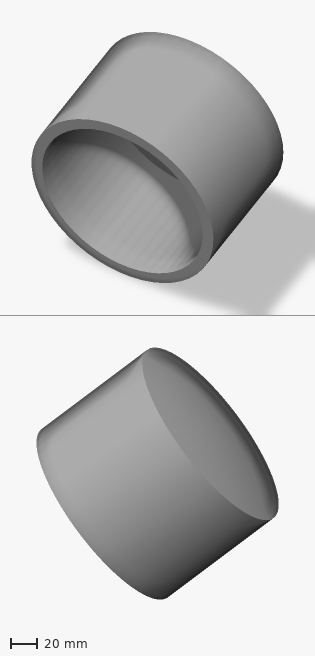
import cadquery as cq
import math

outer_diameter = 160.0
wall_thickness = 9.5
overall_length = 115.01
outer_dome_rise = 9.3
crown_thickness = 9.0
inner_dome_radius = 318.0

outer_radius = outer_diameter / 2
inner_radius = outer_radius - wall_thickness
outer_dome_radius = (outer_radius**2 + outer_dome_rise**2) / (2 * outer_dome_rise)
cavity_depth = overall_length - crown_thickness


def domed_cylinder(radius, length, dome_radius):
    """Solid of revolution about Y, flat at Y = 0 and spherical at its +Y end."""
    dome_centre_y = length - dome_radius

    def dome_point(distance):
        """Point of the dome at a given distance from the axis."""
        return (distance, dome_centre_y + math.sqrt(dome_radius**2 - distance**2))

    profile = (
        cq.Workplane("XY")
        .lineTo(radius, 0)
        .lineTo(*dome_point(radius))
        .threePointArc(dome_point(radius / 2), (0, length))
        .close()
    )
    return profile.revolve(360, (0, 0, 0), (0, 1, 0))


body = domed_cylinder(outer_radius, overall_length, outer_dome_radius)
cavity = domed_cylinder(inner_radius, cavity_depth, inner_dome_radius)
result = body.cut(cavity)